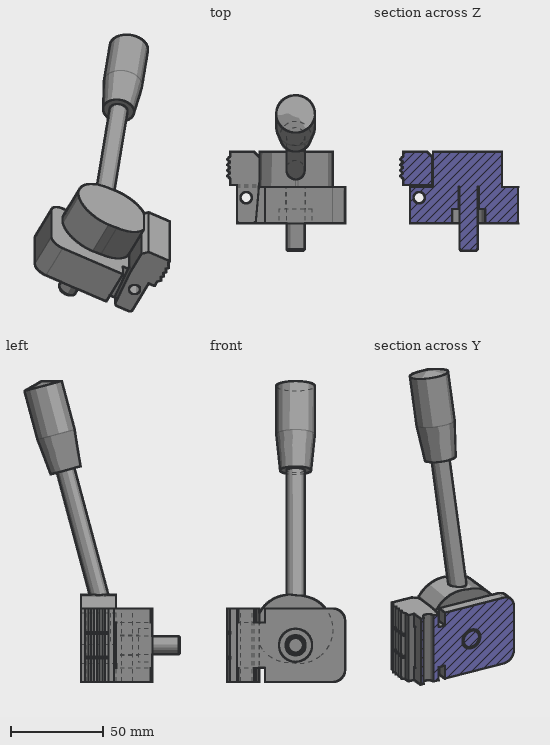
import cadquery as cq
import math


block_height = 40.0
block_left = -16.7
block_right = 27.0
block_depth = 19.8
corner_radius = 6.9
tongue_left = -31.8
tongue_height = 24.5

screw_diameter = 10.0
screw_projection = 15.0
screw_chamfer = 1.0
counterbore_diameter = 18
counterbore_depth = 7.7
bore_diameter = 11.0

hub_depth = 19.1
hub_back = block_depth + hub_depth
cam_radius = 18.5
cam_left_center = (-3.3, 9.0)
cam_right_center = (1.8, 8.5)
cam_flat_start = 0
cam_flat_end = 1.3

jaw_left = -35.5
jaw_right = -19.6
jaw_step_y = 20.7
jaw_slope_start_y = 22.9
jaw_slope_offset = 2.0
jaw_back_chamfer = 3.0
jaw_front_chamfer = 1.0
cross_hole_diameter = 6.0
cross_hole_center = (-26.8, 13.9)

tooth_count = 4
tooth_tip_span = 9.0
tooth_pitch = tooth_tip_span / (tooth_count - 1)
tooth_height = 1.6
tooth_half_width = 1.8
tooth_row_center_y = 30.2
tooth_gap_height = 1.1
tooth_gap_offset = 6.7

lever_tilt = 15
lever_foot_z = 28.5
lever_sunk_length = 8.2
lever_diameter = 10.0
knob_diameter = 21.0
knob_neck_diameter = 17.0
knob_rim_distance = 115.9
knob_straight_length = 27.3
knob_taper_length = 20.0
knob_cap_height = 2.8


def box_between(x_range, y_range, z_range):
    """Box filling the given ranges along X, Y and Z."""
    sizes = [high - low for low, high in (x_range, y_range, z_range)]
    return cq.Workplane("XY").box(*sizes, centered=False).translate((x_range[0], y_range[0], z_range[0]))


def cylinder_along_y(diameter, y_start, y_end):
    """Cylinder on the screw axis."""
    return cq.Workplane("XZ", origin=(0, y_start, 0)).circle(diameter / 2).extrude(y_start - y_end)


def cam_point_at_angle(center, angle):
    """Point of a cam arc at an angle in degrees."""
    turn = math.radians(angle)
    return (center[0] + cam_radius * math.cos(turn), center[1] + cam_radius * math.sin(turn))


def cam_point_at_x(center, x, side=1):
    """Point of a cam arc at a given X, on its upper (side 1) or lower (side -1) half."""
    return (x, center[1] + side * math.sqrt(cam_radius**2 - (x - center[0]) ** 2))


def make_block():
    half_height = block_height / 2
    body = box_between((block_left, block_right), (0, block_depth), (-half_height, half_height))
    body = body.edges("|Y and >X").fillet(corner_radius)
    tongue = box_between(
        (tongue_left, block_left), (0, block_depth), (-tongue_height / 2, tongue_height / 2)
    )
    counterbore = cylinder_along_y(counterbore_diameter, 0, counterbore_depth)
    bore = cylinder_along_y(bore_diameter, 0, block_depth)
    return body.union(tongue).cut(counterbore).cut(bore)


def make_screw():
    screw = cylinder_along_y(screw_diameter, -screw_projection, hub_back)
    return screw.faces("<Y").chamfer(screw_chamfer)


def make_hub():
    left, right = cam_left_center, cam_right_center
    profile = (
        cq.Workplane("XZ", origin=(0, block_depth, 0))
        .moveTo(*cam_point_at_angle(left, -90))
        .threePointArc(cam_point_at_angle(left, -120), cam_point_at_x(left, jaw_right, side=-1))
        .lineTo(*cam_point_at_x(left, jaw_right))
        .threePointArc(cam_point_at_angle(left, 120), cam_point_at_x(left, cam_flat_start))
        .lineTo(*cam_point_at_x(right, cam_flat_end))
        .threePointArc(cam_point_at_angle(right, 0), cam_point_at_angle(right, -90))
        .close()
    )
    return profile.extrude(-hub_depth)


def make_jaw():
    front_right = jaw_right - jaw_slope_offset
    body = (
        cq.Workplane("XY", origin=(0, 0, -block_height / 2))
        .moveTo(tongue_left + jaw_front_chamfer, 0)
        .lineTo(front_right - jaw_front_chamfer, 0)
        .lineTo(front_right, jaw_front_chamfer)
        .lineTo(jaw_right, jaw_slope_start_y)
        .lineTo(jaw_right, hub_back - jaw_back_chamfer)
        .lineTo(jaw_right - jaw_back_chamfer, hub_back)
        .lineTo(jaw_left, hub_back)
        .lineTo(jaw_left, jaw_step_y)
        .lineTo(tongue_left, jaw_step_y)
        .lineTo(tongue_left, jaw_front_chamfer)
        .close()
        .extrude(block_height)
    )
    tongue_slot = box_between(
        (jaw_left, jaw_right), (0, jaw_step_y), (-tongue_height / 2, tongue_height / 2)
    )
    return body.cut(tongue_slot)


def make_teeth():
    teeth = cq.Workplane("XY")
    for index in range(tooth_count):
        tip_y = tooth_row_center_y - tooth_tip_span / 2 + index * tooth_pitch
        tooth = (
            cq.Workplane("XY", origin=(jaw_left, tip_y, -block_height / 2))
            .polyline([(0, -tooth_half_width), (-tooth_height, 0), (0, tooth_half_width)])
            .close()
            .extrude(block_height)
        )
        teeth = teeth.union(tooth)
    for gap_z in (-tooth_gap_offset, tooth_gap_offset):
        gap = box_between(
            (jaw_left - tooth_height, jaw_left),
            (jaw_step_y, hub_back),
            (gap_z - tooth_gap_height / 2, gap_z + tooth_gap_height / 2),
        )
        teeth = teeth.cut(gap)
    return teeth


def make_lever():
    taper_top = knob_rim_distance - knob_straight_length
    neck = taper_top - knob_taper_length
    lever = (
        cq.Workplane("XZ")
        .moveTo(0, -lever_sunk_length)
        .lineTo(lever_diameter / 2, -lever_sunk_length)
        .lineTo(lever_diameter / 2, neck)
        .lineTo(knob_neck_diameter / 2, neck)
        .lineTo(knob_diameter / 2, taper_top)
        .lineTo(knob_diameter / 2, knob_rim_distance)
        .lineTo(0, knob_rim_distance + knob_cap_height)
        .close()
        .revolve(360, (0, 0, 0), (0, 1, 0))
    )
    tilted = lever.rotate((0, 0, 0), (1, 0, 0), -lever_tilt)
    return tilted.translate((0, block_depth + hub_depth / 2, lever_foot_z))


cross_hole = (
    cq.Workplane("XY", origin=(*cross_hole_center, -block_height / 2))
    .circle(cross_hole_diameter / 2)
    .extrude(block_height)
)
result = make_block().union(make_jaw()).union(make_teeth()).cut(cross_hole)
result = result.union(make_hub()).union(make_screw()).union(make_lever())